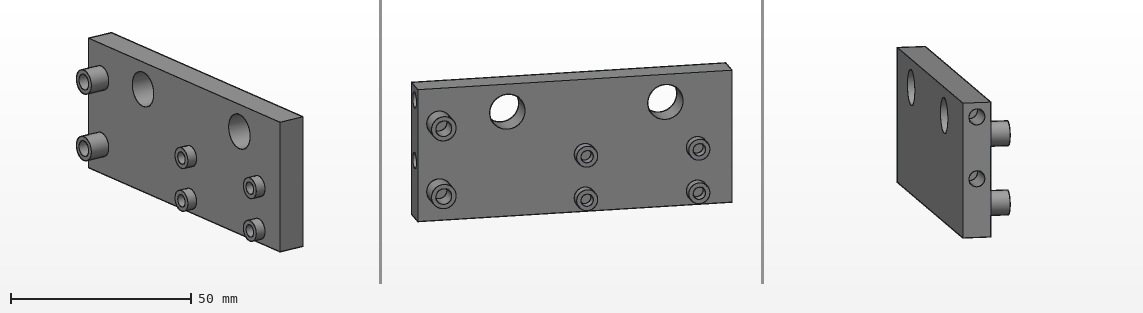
import cadquery as cq

plate_width = 89.5
plate_height = 38.0
plate_thickness = 8.0

through_diameter = 10.0
through_z = plate_height - 8.0
through_first_x = 25.5
through_spacing = 45.0

tall_boss_diameter = 7.0
tall_boss_height = 6.0
tall_bore_diameter = 4.5
tall_boss_x = 6.0
tall_boss_top_z = plate_height - 10.0
tall_boss_spacing = 19.5

short_boss_diameter = 6.0
short_boss_height = tall_boss_height / 2
short_bore_diameter = 3.5
short_boss_first_x = 47.5
short_boss_top_z = plate_height - 21.5
short_boss_spacing_x = 31.95
short_boss_spacing_z = 12.5

edge_hole_diameter = 4.5
edge_hole_depth = 10.0
edge_hole_top_z = plate_height - 4.0
edge_hole_spacing = 17.45

through_centers = [(through_first_x + i * through_spacing, through_z) for i in range(2)]
tall_boss_centers = [(tall_boss_x, tall_boss_top_z - i * tall_boss_spacing) for i in range(2)]
short_boss_centers = [
    (short_boss_first_x + i * short_boss_spacing_x, short_boss_top_z - j * short_boss_spacing_z)
    for i in range(2)
    for j in range(2)
]
edge_hole_centers = [
    (plate_thickness / 2, edge_hole_top_z - i * edge_hole_spacing) for i in range(2)
]


def hollow_bosses(centers, diameter, height, bore_diameter):
    """Tubular bosses standing on the face at Y = 0; their bores end at that face."""
    return (
        cq.Workplane("XZ")
        .pushPoints(centers)
        .circle(diameter / 2)
        .circle(bore_diameter / 2)
        .extrude(height)
    )


plate = cq.Workplane("XY").box(plate_width, plate_thickness, plate_height, centered=False)

through_holes = (
    cq.Workplane("XZ")
    .pushPoints(through_centers)
    .circle(through_diameter / 2)
    .extrude(-plate_thickness)
)

edge_holes = (
    cq.Workplane("YZ")
    .pushPoints(edge_hole_centers)
    .circle(edge_hole_diameter / 2)
    .extrude(edge_hole_depth)
)

tall_bosses = hollow_bosses(
    tall_boss_centers, tall_boss_diameter, tall_boss_height, tall_bore_diameter
)
short_bosses = hollow_bosses(
    short_boss_centers, short_boss_diameter, short_boss_height, short_bore_diameter
)

result = plate.cut(through_holes).cut(edge_holes).union(tall_bosses).union(short_bosses)